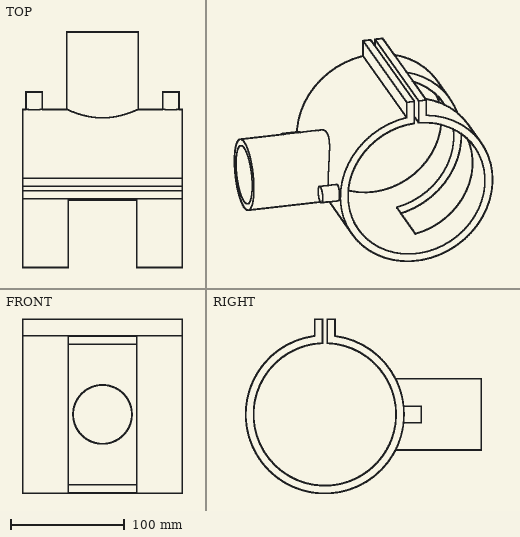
import cadquery as cq

ring_length = 140.0
outer_diameter = 139.0
inner_diameter = 125.0
outer_radius = outer_diameter / 2
inner_radius = inner_diameter / 2
wall = outer_radius - inner_radius

overall_height = 153.0
flange_top = overall_height - outer_radius
slit_width = 4.0
flange_pair_width = slit_width + 2 * wall

window_width = 60.0
window_edge_y = -10.3

overall_depth = 206.9
pipe_end_y = overall_depth - outer_radius
pipe_diameter = 62.9
pipe_bore = 51.5

pin_diameter = 14.5
pin_offset_x = 60.0
pin_projection = 15.3


def cylinder_x(diameter):
    """Cylinder along X, as long as the ring."""
    return cq.Workplane("YZ").circle(diameter / 2).extrude(ring_length / 2, both=True)


def cylinder_y(diameter, end_y, x=0):
    """Cylinder along +Y from the ring axis to end_y."""
    return cq.Workplane("XZ").center(x, 0).circle(diameter / 2).extrude(-end_y)


def upright_block(width_y):
    """Block from the ring axis up to the flange tops."""
    return cq.Workplane("XY").rect(ring_length, width_y).extrude(flange_top)


def window():
    """Block that opens the ring wall beyond the window edge."""
    depth = outer_radius + window_edge_y
    return (
        cq.Workplane("XY")
        .box(window_width, depth, outer_diameter)
        .translate((0, window_edge_y - depth / 2, 0))
    )


body = cylinder_x(outer_diameter).union(upright_block(flange_pair_width))
body = body.union(cylinder_y(pipe_diameter, pipe_end_y))
for side in (-1, 1):
    pin = cylinder_y(pin_diameter, outer_radius + pin_projection, side * pin_offset_x)
    body = body.union(pin)

result = (
    body.cut(cylinder_x(inner_diameter))
    .cut(upright_block(slit_width))
    .cut(window())
    .cut(cylinder_y(pipe_bore, pipe_end_y))
)